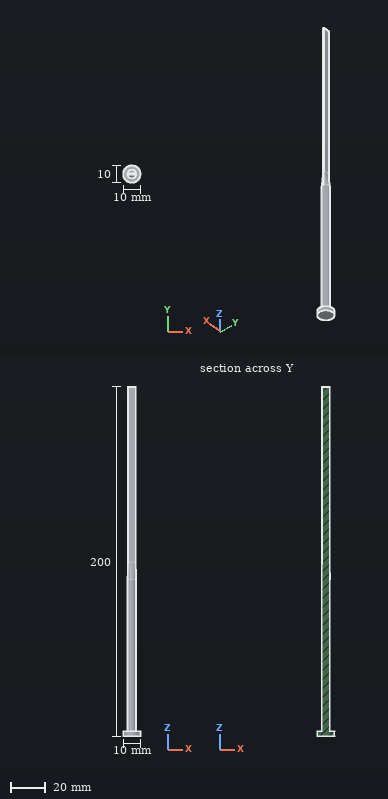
import cadquery as cq
import math

total_length = 200.0

head_diameter = 10.0
head_height = 3.0
shaft_diameter = 5.0
shaft_top = 90.0

blade_width = 4.5
blade_thickness = 1.0
blade_bottom = total_length / 2


def make_cylinder(diameter, bottom, top):
    """Round section on the Z axis."""
    return cq.Workplane("XY").workplane(offset=bottom).circle(diameter / 2).extrude(top - bottom)


def make_transition():
    """Taper blending the round shaft into the rectangular blade.

    The circle is split into four arcs that meet in line with the blade corners,
    so each arc blends straight into one blade side without twisting.
    """
    radius = shaft_diameter / 2
    corner_angle = math.atan2(blade_thickness, blade_width)
    arc_x = radius * math.cos(corner_angle)
    arc_y = radius * math.sin(corner_angle)
    half_width = blade_width / 2
    half_thickness = blade_thickness / 2
    return (
        cq.Workplane("XY")
        .workplane(offset=shaft_top)
        .moveTo(-arc_x, -arc_y)
        .threePointArc((0, -radius), (arc_x, -arc_y))
        .threePointArc((radius, 0), (arc_x, arc_y))
        .threePointArc((0, radius), (-arc_x, arc_y))
        .threePointArc((-radius, 0), (-arc_x, -arc_y))
        .close()
        .workplane(offset=blade_bottom - shaft_top)
        .moveTo(-half_width, -half_thickness)
        .lineTo(half_width, -half_thickness)
        .lineTo(half_width, half_thickness)
        .lineTo(-half_width, half_thickness)
        .close()
        .loft(ruled=True)
    )


def make_blade():
    """Rectangular blade running up to the tip."""
    return (
        cq.Workplane("XY")
        .workplane(offset=blade_bottom)
        .rect(blade_width, blade_thickness)
        .extrude(total_length - blade_bottom)
    )


head = make_cylinder(head_diameter, 0, head_height)
shaft = make_cylinder(shaft_diameter, head_height, shaft_top)
result = head.union(shaft).union(make_transition()).union(make_blade())